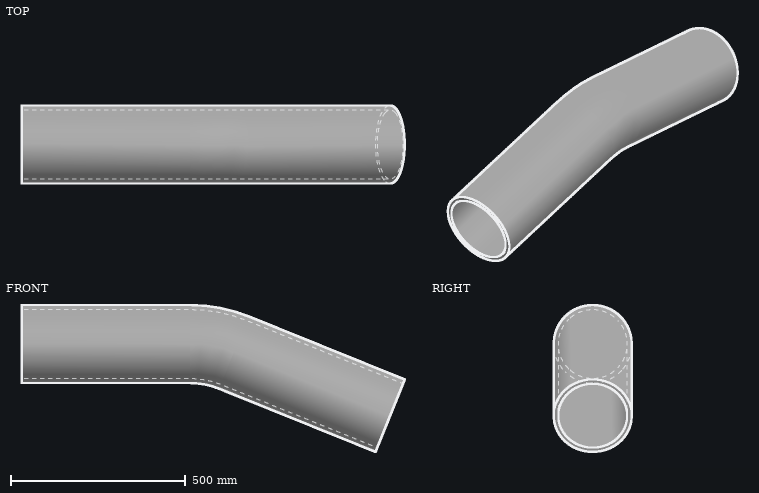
import cadquery as cq
import math

outer_diameter = 225.0
inner_diameter = 198.2

bend_angle = 22.0
bend_radius = 1.5 * outer_diameter

end_to_corner = 549.46
leg_length = end_to_corner - bend_radius * math.tan(math.radians(bend_angle / 2))


def bend_centreline():
    """Straight leg along +X, arc bending down toward -Z, then an equal straight leg."""
    angle = math.radians(bend_angle)
    arc_end_x = leg_length + bend_radius * math.sin(angle)
    arc_end_z = -bend_radius * (1 - math.cos(angle))
    far_end_x = arc_end_x + leg_length * math.cos(angle)
    far_end_z = arc_end_z - leg_length * math.sin(angle)
    return (
        cq.Workplane("XZ")
        .lineTo(leg_length, 0)
        .tangentArcPoint((arc_end_x, arc_end_z), relative=False)
        .lineTo(far_end_x, far_end_z)
    )


def swept_rod(diameter):
    """Solid round bar following the bend centreline."""
    return cq.Workplane("YZ").circle(diameter / 2).sweep(bend_centreline())


result = swept_rod(outer_diameter).cut(swept_rod(inner_diameter))